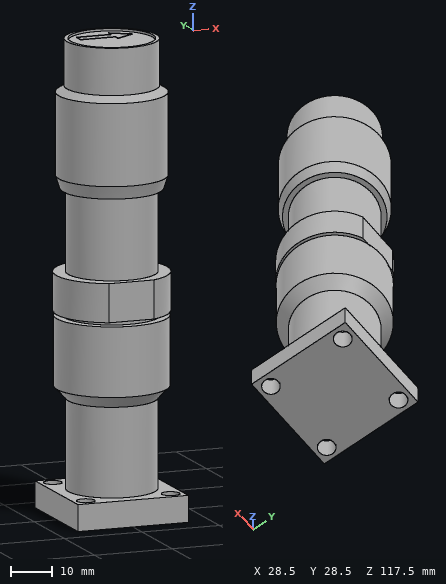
import cadquery as cq

flange_side = 28.5
flange_thickness = 6.7
hole_diameter = 4.5
hole_offset = 10.9

shaft_diameter = 22.3
lower_sleeve_diameter = 28.2
groove_diameter = 23.9
collar_diameter = 28.5
upper_sleeve_diameter = 27.3
upper_taper_end_diameter = 25.1
cap_diameter = 23.0

lower_taper_bottom = 29.0
lower_sleeve_bottom = 32.1
lower_sleeve_top = 49.5
collar_bottom = 50.5
collar_top = 60.2
upper_taper_bottom = 80.6
upper_sleeve_bottom = 83.9
upper_sleeve_top = 104.3
cap_bottom = 105.9
total_height = 117.5

collar_across_flats = 26.1

recess_diameter = 21.0
recess_depth = 0.6
arrow_depth = 0.1
arrow_center_y = 5.0
arrow_tail_x = -6.6
arrow_shoulder_x = 2.4
arrow_tip_x = 7.3
arrow_shaft_width = 2.8
arrow_head_width = 6.3


def cylinder(diameter, bottom, top):
    return cq.Workplane("XY").workplane(offset=bottom).circle(diameter / 2).extrude(top - bottom)


def make_flange():
    return (
        cq.Workplane("XY")
        .rect(flange_side, flange_side)
        .extrude(flange_thickness)
        .faces(">Z")
        .workplane()
        .rect(2 * hole_offset, 2 * hole_offset, forConstruction=True)
        .vertices()
        .hole(hole_diameter)
    )


def make_turned_body():
    """Revolve the stepped half profile, from the flange top to the cap."""
    profile = [
        (shaft_diameter, flange_thickness),
        (shaft_diameter, lower_taper_bottom),
        (lower_sleeve_diameter, lower_sleeve_bottom),
        (lower_sleeve_diameter, lower_sleeve_top),
        (groove_diameter, lower_sleeve_top),
        (groove_diameter, collar_bottom),
        (shaft_diameter, collar_bottom),
        (shaft_diameter, upper_taper_bottom),
        (upper_taper_end_diameter, upper_taper_bottom),
        (upper_sleeve_diameter, upper_sleeve_bottom),
        (upper_sleeve_diameter, upper_sleeve_top),
        (cap_diameter, cap_bottom),
        (cap_diameter, total_height),
    ]
    outer_points = [(diameter / 2, height) for diameter, height in profile]
    return (
        cq.Workplane("XZ")
        .moveTo(0, flange_thickness)
        .polyline(outer_points, includeCurrent=True)
        .lineTo(0, total_height)
        .close()
        .revolve(360, (0, 0), (0, 1))
    )


def make_collar():
    """Round collar trimmed by two flats facing -Y and +Y."""
    flats_envelope = (
        cq.Workplane("XY")
        .workplane(offset=collar_bottom)
        .rect(collar_diameter, collar_across_flats)
        .extrude(collar_top - collar_bottom)
    )
    return cylinder(collar_diameter, collar_bottom, collar_top).intersect(flats_envelope)


def make_arrow(floor_height):
    """Arrow pointing along +X, sunk into the recess floor."""
    upper_half = [
        (arrow_tail_x, arrow_shaft_width / 2),
        (arrow_shoulder_x, arrow_shaft_width / 2),
        (arrow_shoulder_x, arrow_head_width / 2),
        (arrow_tip_x, 0),
    ]
    lower_half = [(x, -y) for x, y in reversed(upper_half[:-1])]
    return (
        cq.Workplane("XY", origin=(0, arrow_center_y, floor_height))
        .polyline(upper_half + lower_half)
        .close()
        .extrude(-arrow_depth)
    )


recess_floor = total_height - recess_depth
recess = cylinder(recess_diameter, recess_floor, total_height)

result = make_flange().union(make_turned_body()).union(make_collar())
result = result.cut(recess).cut(make_arrow(recess_floor))